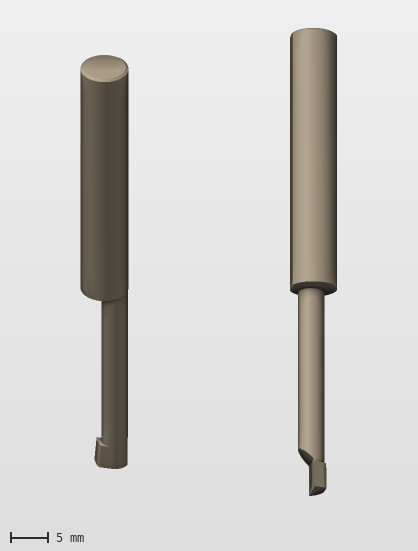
import cadquery as cq

total_length = 63.5
shank_radius = 3.2
shank_length = 35.5
shank_flat_y = 2.9
chamfer_height = 0.25
chamfer_inset = 0.4

neck_diameter = 3.5
neck_radius = neck_diameter / 2
neck_x = shank_radius - neck_radius
neck_length = total_length - shank_length

rake_height = 4.25
runout_height = rake_height + neck_radius

tooth_height = 3.75
tooth_tip_x = -1.1
tooth_heel_x = -0.3
tooth_heel_y = -1.4
tooth_flank_x = 0.0
tooth_lean = 0.3
end_rise_x = 0.1
end_rise_y = 0.2

clearance = 0.65


def make_shank():
    """Cylinder with a chamfered top and a flat along its +Y side."""
    shank = cq.Workplane("XY").workplane(offset=neck_length).circle(shank_radius).extrude(shank_length)
    shank = shank.faces(">Z").chamfer(chamfer_height, chamfer_inset)
    flat_cut = (
        cq.Workplane("XY", origin=(0, shank_flat_y, neck_length))
        .rect(2 * shank_radius, shank_radius, centered=(True, False))
        .extrude(shank_length)
    )
    return shank.cut(flat_cut)


def make_neck():
    """Round neck cut down to a half round at its lower end."""
    neck = cq.Workplane("XY").center(neck_x, 0).circle(neck_radius).extrude(neck_length)
    rake_cut = (
        cq.Workplane("YZ", origin=(neck_x, 0, 0))
        .moveTo(0, 0)
        .lineTo(0, rake_height)
        .lineTo(neck_radius + clearance, runout_height + clearance)
        .lineTo(neck_radius + clearance, 0)
        .close()
        .extrude(neck_radius + clearance, both=True)
    )
    return neck.cut(rake_cut)


def tooth_outline(lean):
    """Tooth section with its -X faces shifted outward by the lean."""
    return [
        (neck_x, 0),
        (tooth_tip_x - lean, 0),
        (tooth_heel_x - lean, tooth_heel_y),
        (tooth_flank_x - lean, -neck_radius),
        (neck_x, -neck_radius),
    ]


def make_tooth():
    """Tooth that widens towards its cutting end."""
    return (
        cq.Workplane("XY")
        .polyline(tooth_outline(tooth_lean)).close()
        .workplane(offset=tooth_height)
        .polyline(tooth_outline(0)).close()
        .loft(ruled=True, combine=True)
    )


def make_end_relief():
    """Block whose sloping top leaves the tooth tip as the lowest point."""
    tip_x = tooth_tip_x - tooth_lean
    slope_x = end_rise_x / (shank_radius - tip_x)
    slope_y = end_rise_y / neck_radius
    block_size = 4 * shank_radius
    block_depth = shank_radius
    relief_plane = cq.Plane(
        origin=(tip_x, 0, 0),
        xDir=(1, 0, slope_x),
        normal=(-slope_x, slope_y, 1),
    )
    return cq.Workplane(relief_plane).rect(block_size, block_size).extrude(-block_depth)


tool = make_shank().union(make_neck()).union(make_tooth())
result = tool.cut(make_end_relief())